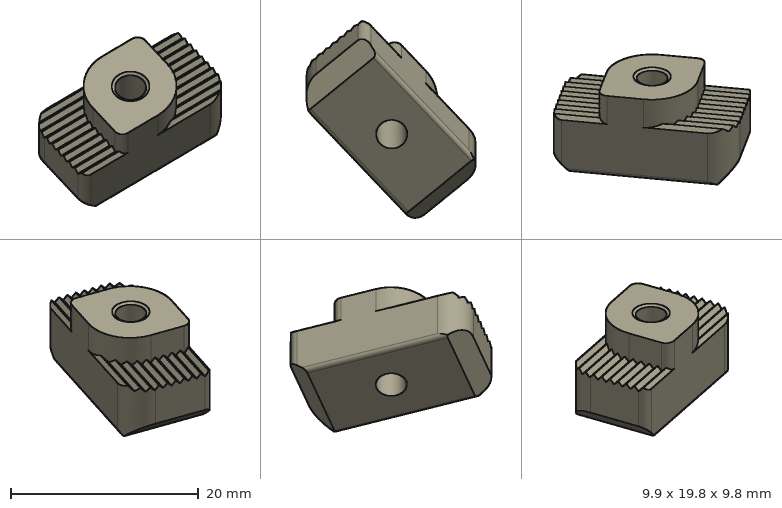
import cadquery as cq
import math

width = 9.9
length = 19.8
height = 9.8
boss_height = 3.0

body_turn_radius = 3.0
boss_turn_radius = width / 2
small_corner_radius = 1.0

end_chamfer = 2.0
bottom_edge_radius = 0.5

tooth_pitch = 1.0
tooth_depth = tooth_pitch / 2
tooth_count = 10
crest_z = height - boss_height
root_z = crest_z - tooth_depth

hole_diameter = 3.3
hole_mouth_diameter = 4.0
hole_mouth_angle = 120.0
hole_x = 0.1

eps = 1e-3


def turning_block(size_y, turn_radius, z_bottom, z_top):
    """Block with two large and two small corners, each pair diagonally opposite."""
    block = cq.Workplane("XY").workplane(offset=z_bottom).rect(width, size_y).extrude(z_top - z_bottom)
    half_x = width / 2
    half_y = size_y / 2
    corners = (
        (-half_x, -half_y, turn_radius),
        (half_x, half_y, turn_radius),
        (half_x, -half_y, small_corner_radius),
        (-half_x, half_y, small_corner_radius),
    )
    for x, y, radius in corners:
        corner = cq.selectors.BoxSelector(
            (x - eps, y - eps, z_bottom - eps), (x + eps, y + eps, z_top + eps)
        )
        block = block.edges("|Z").edges(corner).fillet(radius)
    return block


def rounded_bottom_bar():
    """Plain bar whose two long bottom edges are rounded."""
    bar = cq.Workplane("XY").box(width, length, crest_z, centered=(True, True, False))
    return bar.edges("|Y and <Z").fillet(bottom_edge_radius)


def chamfered_end_bar():
    """Plain bar whose two short bottom edges are chamfered."""
    bar = cq.Workplane("XY").box(width, length, crest_z, centered=(True, True, False))
    return bar.edges("|X and <Z").chamfer(end_chamfer)


def tooth_gaps():
    """V grooves between the teeth, one at each tooth boundary."""
    gaps = cq.Workplane("XZ")
    for index in range(tooth_count + 1):
        x = (index - tooth_count / 2) * tooth_pitch
        gaps = (
            gaps.moveTo(x - tooth_pitch / 2, crest_z)
            .lineTo(x, root_z)
            .lineTo(x + tooth_pitch / 2, crest_z)
            .close()
        )
    return gaps.extrude(length / 2, both=True)


def countersunk_hole():
    """Through hole with a shallow countersunk mouth at the boss top."""
    radius = hole_diameter / 2
    mouth_radius = hole_mouth_diameter / 2
    mouth_depth = (mouth_radius - radius) / math.tan(math.radians(hole_mouth_angle / 2))
    profile = (
        cq.Workplane("XZ")
        .moveTo(0, 0)
        .lineTo(radius, 0)
        .lineTo(radius, height - mouth_depth)
        .lineTo(mouth_radius, height)
        .lineTo(0, height)
        .close()
    )
    return profile.revolve(360, (0, 0, 0), (0, 1, 0)).translate((hole_x, 0, 0))


body = turning_block(length, body_turn_radius, 0, crest_z)
body = body.intersect(rounded_bottom_bar()).intersect(chamfered_end_bar()).cut(tooth_gaps())
boss = turning_block(length / 2, boss_turn_radius, root_z, height)
result = body.union(boss).cut(countersunk_hole())